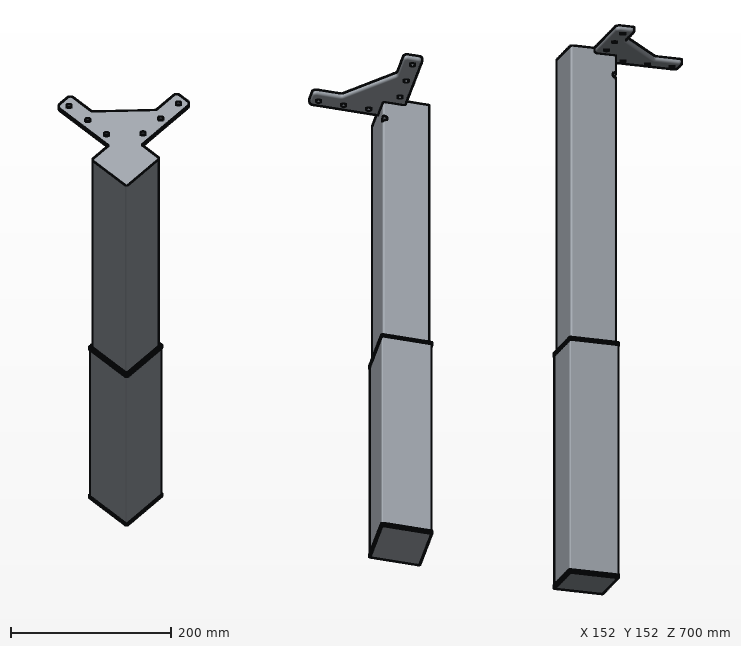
import cadquery as cq

height = 700.0
inner_side = 60.0
inner_corner_radius = 3.0
outer_side = 64.5
outer_corner_radius = 1.75

rim_side = 66.0
rim_corner_radius = 2.0
rim_height = 4.0
rim_chamfer = 1.5
collar_top = 313.0

plate_reach = 119.0
plate_thickness = 7.0
plate_edge_radius = 3.5
arm_width = 24.5
arm_inner_offset = 1.0
arm_free_length = 37.0
plate_corner_radius = 5.25

screw_hole_diameter = 6.4
screw_hole_pitch = 32.0
screw_hole_end_distance = 10.5
screw_hole_line = 12.0
screw_holes_per_arm = 3

corner_hole_diameter = 8.0
corner_hole_drop = 33.0
corner_hole_depth = 10.5


def square_bar(side, corner_radius, bottom, top):
    """Upright square bar with rounded long edges."""
    bar = cq.Workplane("XY", origin=(0, 0, bottom)).rect(side, side).extrude(top - bottom)
    return bar.edges("|Z").fillet(corner_radius)


def rim(bottom, chamfered_face):
    """Thin square slab around the column, chamfered on the chosen face."""
    body = square_bar(rim_side, rim_corner_radius, bottom, bottom + rim_height)
    return body.faces(chamfered_face).chamfer(rim_chamfer)


def mounting_plate():
    """One arm along -X, one along +Y, and a diagonal web between them."""
    arm_outer = arm_inner_offset + arm_width
    web_end = plate_reach - arm_free_length
    outline = [
        (-arm_inner_offset, arm_inner_offset),
        (-arm_inner_offset, plate_reach),
        (-arm_outer, plate_reach),
        (-arm_outer, web_end),
        (-web_end, arm_outer),
        (-plate_reach, arm_outer),
        (-plate_reach, arm_inner_offset),
    ]
    plate = (
        cq.Workplane("XY", origin=(0, 0, height - plate_thickness))
        .polyline(outline)
        .close()
        .extrude(plate_thickness)
    )
    plate = plate.edges("|Z").edges("<X or >Y").fillet(plate_corner_radius)
    for web_corner in [(-arm_outer, web_end), (-web_end, arm_outer)]:
        nearest = cq.NearestToPointSelector((*web_corner, height - plate_thickness / 2))
        plate = plate.edges("|Z").edges(nearest).fillet(plate_corner_radius)
    plate = plate.faces("<Z").edges().fillet(plate_edge_radius)

    first = plate_reach - screw_hole_end_distance
    reaches = [first - i * screw_hole_pitch for i in range(screw_holes_per_arm)]
    centers = [(-reach, screw_hole_line) for reach in reaches]
    centers += [(-screw_hole_line, reach) for reach in reaches]
    holes = (
        cq.Workplane("XY", origin=(0, 0, height))
        .pushPoints(centers)
        .circle(screw_hole_diameter / 2)
        .extrude(-plate_thickness)
    )
    return plate.cut(holes)


def corner_hole():
    """Drill entering the (-X, +Y) corner of the column toward its axis."""
    corner = cq.Vector(-inner_side / 2, inner_side / 2, height - corner_hole_drop)
    plane = cq.Plane(origin=corner, xDir=(0, 0, 1), normal=(1, -1, 0))
    return cq.Workplane(plane).circle(corner_hole_diameter / 2).extrude(corner_hole_depth)


inner_tube = square_bar(inner_side, inner_corner_radius, 0, height).cut(corner_hole())
outer_tube = square_bar(outer_side, outer_corner_radius, rim_height, collar_top - rim_height)
foot = rim(0, "<Z")
collar = rim(collar_top - rim_height, ">Z")

result = inner_tube.union(outer_tube).union(foot).union(collar).union(mounting_plate())